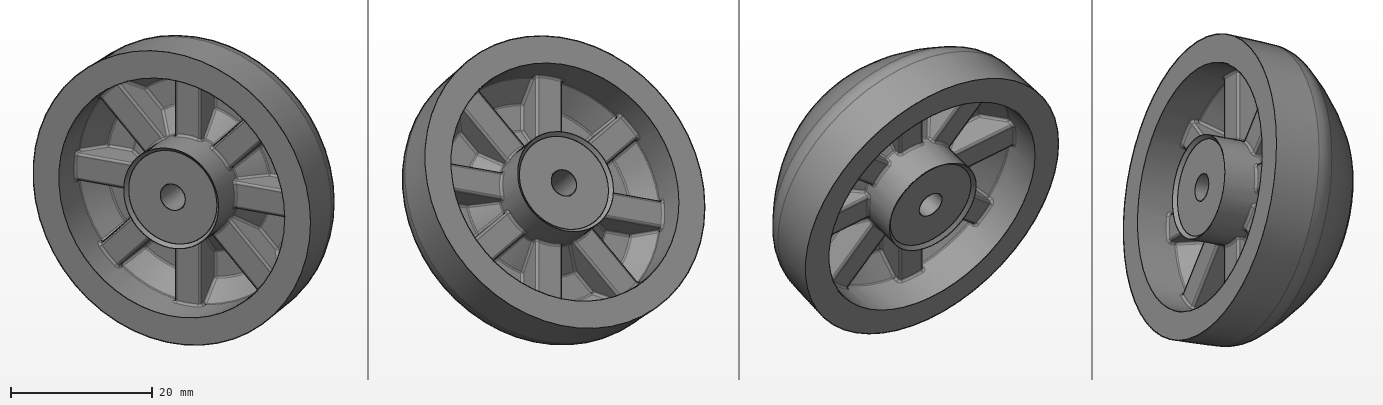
import cadquery as cq
import math


overall_length = 19.0

tyre_radius = 22.0
wall_end_radius = 21.75
wall_end_depth = 7.1
dome_start_radius = 20.75
dome_start_depth = 9.72
dome_end_radius = 13.9
dome_end_depth = 17.0
dome_bulge = 0.35

crest_radius = 11.1
boss_radius = 10.85
cap_radius = 8.6
cap_step = 0.4

hub_radius = 7.52
hub_projection = 0.2
hub_recess = 0.55
axle_radius = 2.0

mouth_radius = 17.9
rim_root_radius = 18.8
seat_depth = 11.45

trench_top_depth = 6.1
trench_floor_depth = 9.4
trench_outer_radius = 15.0
trench_inner_radius = 11.05
inner_round = 0.35

spoke_count = 8
spoke_depth = 5.0
spoke_top_width = 4.05
spoke_draft_angle = 1.0

cap_depth = overall_length - hub_projection
step_depth = cap_depth - cap_step
crest_depth = step_depth - cap_step
hub_face_depth = hub_recess - hub_projection


def revolved(outline):
    """Turn a closed (radius, depth) outline around the wheel axis."""
    return outline.close().revolve(360, (0, 0, 0), (0, 1, 0))


def make_tyre():
    outline = (
        cq.Workplane("XY")
        .moveTo(mouth_radius, 0)
        .lineTo(tyre_radius, 0)
        .lineTo(wall_end_radius, wall_end_depth)
        .tangentArcPoint((dome_start_radius, dome_start_depth), relative=False)
        .sagittaArc((dome_end_radius, dome_end_depth), -dome_bulge)
        .lineTo(dome_end_radius, seat_depth)
        .lineTo(rim_root_radius, seat_depth)
    )
    return revolved(outline)


def make_dish():
    """Hub, trench, rim and stepped boss, with the axle hole but without the spokes."""
    shoulder_rise = crest_depth - dome_end_depth
    shoulder_run = dome_end_radius - crest_radius
    shoulder_slope = math.atan2(shoulder_rise, shoulder_run)
    shoulder_bulge = math.hypot(shoulder_rise, shoulder_run) / 2 * math.tan(shoulder_slope / 2)
    outline = (
        cq.Workplane("XY")
        .moveTo(axle_radius, hub_face_depth)
        .lineTo(hub_radius - hub_recess, hub_face_depth)
        .lineTo(hub_radius, -hub_projection)
        .lineTo(hub_radius, trench_top_depth)
        .lineTo(trench_inner_radius, trench_floor_depth)
        .lineTo(trench_outer_radius, trench_floor_depth)
        .lineTo(mouth_radius, trench_top_depth)
        .lineTo(mouth_radius, 0)
        .lineTo(rim_root_radius, seat_depth)
        .lineTo(dome_end_radius, seat_depth)
        .lineTo(dome_end_radius, dome_end_depth)
        .sagittaArc((crest_radius, crest_depth), -shoulder_bulge)
        .lineTo(boss_radius, crest_depth)
        .lineTo(boss_radius - cap_step, step_depth)
        .lineTo(cap_radius, step_depth)
        .lineTo(cap_radius - cap_step, cap_depth)
        .lineTo(axle_radius, cap_depth)
    )
    return revolved(outline)


def make_spoke(angle):
    """One spoke with drafted sides, its ends buried in the hub and in the rim."""
    root_depth = (trench_floor_depth + seat_depth) / 2
    top_half = spoke_top_width / 2
    root_half = top_half + (root_depth - spoke_depth) * math.tan(math.radians(spoke_draft_angle))
    section = [
        (-root_half, root_depth),
        (root_half, root_depth),
        (top_half, spoke_depth),
        (-top_half, spoke_depth),
    ]
    bar = (
        cq.Workplane("XY", origin=(0, 0, (axle_radius + hub_radius) / 2))
        .polyline(section)
        .close()
        .extrude(tyre_radius)
    )
    rim_thickness = (rim_root_radius - mouth_radius) * spoke_depth / seat_depth
    end_cylinder = cq.Workplane("XZ").circle(mouth_radius + rim_thickness / 2).extrude(-seat_depth)
    return bar.intersect(end_cylinder).rotate((0, 0, 0), (0, 1, 0), angle)


def make_core():
    core = make_dish()
    for index in range(spoke_count):
        core = core.union(make_spoke(index * 360 / spoke_count))
    depth_margin = 0.05
    trench_zone = cq.selectors.BoxSelector(
        (-tyre_radius, spoke_depth - depth_margin, -tyre_radius),
        (tyre_radius, trench_floor_depth + depth_margin, tyre_radius),
        boundingbox=True,
    )
    return core.edges(trench_zone).fillet(inner_round)


tyre = make_tyre()
core = make_core()
result = cq.Compound.makeCompound([tyre.val(), core.val()])